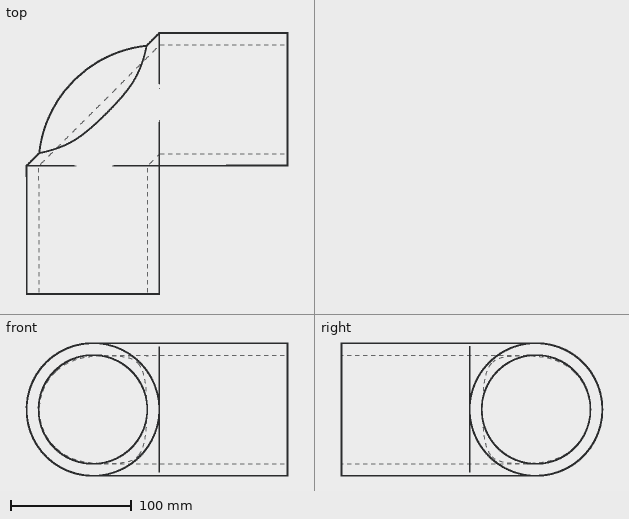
import cadquery as cq
import math

overall = 216.0
outer_diameter = 110.0
wall = 10.0

outer_radius = outer_diameter / 2
bore_radius = outer_radius - wall
leg_length = overall - outer_diameter



def leg_along_y(radius):
    """Cylinder of the leg that opens toward -Y."""
    return cq.Workplane("XZ").center(-outer_radius, 0).circle(radius).extrude(leg_length)


def leg_along_x(radius):
    """Cylinder of the leg that opens toward +X."""
    return cq.Workplane("YZ").center(outer_radius, 0).circle(radius).extrude(leg_length)


def oblique_link(radius):
    """Straight 45 degree passage between the inner end circles of the two legs."""
    half_width = radius * math.sin(math.radians(45))
    start = (-outer_radius - outer_diameter, -outer_diameter, 0)
    section = cq.Plane(origin=start, xDir=(1, -1, 0), normal=(1, 1, 0))
    passage = cq.Workplane(section).ellipse(half_width, radius).extrude(3 * outer_diameter)
    corner_block = cq.Workplane("XY").box(
        outer_diameter, outer_diameter, outer_diameter * 2, centered=(False, False, True)
    )
    return passage.intersect(corner_block.translate((-outer_diameter, 0, 0)))


def elbow(radius):
    """Both legs joined by the oblique link."""
    return leg_along_y(radius).union(leg_along_x(radius)).union(oblique_link(radius))


def corner_bulge():
    """Quarter torus of bore radius that bulges out past the oblique link."""
    return (
        cq.Workplane("XZ")
        .center(-outer_radius, 0)
        .circle(bore_radius)
        .revolve(90, (outer_radius, 0, 0), (outer_radius, -1, 0))
    )


body = elbow(outer_radius).union(corner_bulge()).cut(elbow(bore_radius))

corner_offset = overall / 2 - leg_length
result = body.translate((corner_offset, -corner_offset, 0))